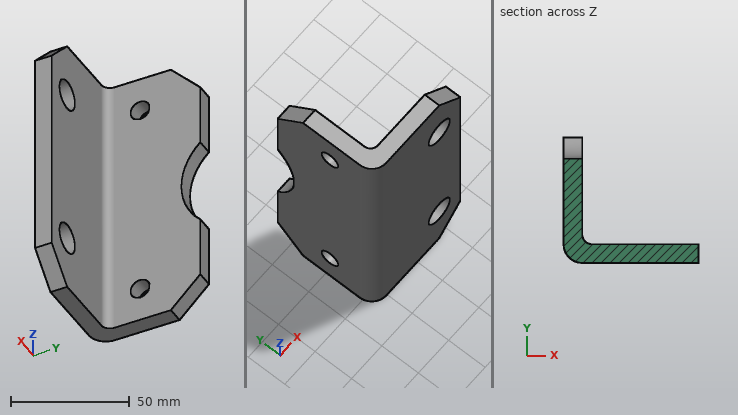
import cadquery as cq

flange_x = 57.0
flange_y = 53.0
height = 126.0
thickness = 8.0
outer_bend_radius = 8.0
inner_bend_radius = 4.0
corner_chamfer = 14.0

large_hole_diameter = 14.0
large_hole_spacing = 75.0
large_hole_x = flange_x - corner_chamfer

small_hole_diameter = 9.0
small_hole_spacing = 93.4
small_hole_y = 24.3

relief_radius = 27.0
relief_depth = 9.0
relief_center_y = flange_y - relief_depth + relief_radius


def bent_angle():
    """L-shaped section extruded along Z, centred on Z = 0, with a rounded bend."""
    section = (
        cq.Workplane("XY")
        .workplane(offset=-height / 2)
        .polyline([
            (0, 0),
            (flange_x, 0),
            (flange_x, thickness),
            (thickness, thickness),
            (thickness, flange_y),
            (0, flange_y),
        ])
        .close()
    )
    angle = section.extrude(height)
    angle = angle.edges("|Z").edges(cq.NearestToPointSelector((0, 0, 0))).fillet(outer_bend_radius)
    inner_corner = cq.NearestToPointSelector((thickness, thickness, 0))
    return angle.edges("|Z").edges(inner_corner).fillet(inner_bend_radius)


def chamfer_free_corners(body):
    """Cut the top and bottom corners at the free end of each flange."""
    body = body.faces(">X").edges("|Y").chamfer(corner_chamfer)
    return body.faces(">Y").edges("|X").chamfer(corner_chamfer)


def bore_along_y(x, z, diameter):
    """Round cutter through the X flange."""
    return (
        cq.Workplane("XZ")
        .center(x, z)
        .circle(diameter / 2)
        .extrude(-thickness)
    )


def bore_along_x(y, z, diameter):
    """Round cutter through the Y flange."""
    return cq.Workplane("YZ").center(y, z).circle(diameter / 2).extrude(thickness)


result = chamfer_free_corners(bent_angle())
for side in (-1, 1):
    result = result.cut(bore_along_y(large_hole_x, side * large_hole_spacing / 2, large_hole_diameter))
    result = result.cut(bore_along_x(small_hole_y, side * small_hole_spacing / 2, small_hole_diameter))
result = result.cut(bore_along_x(relief_center_y, 0, 2 * relief_radius))